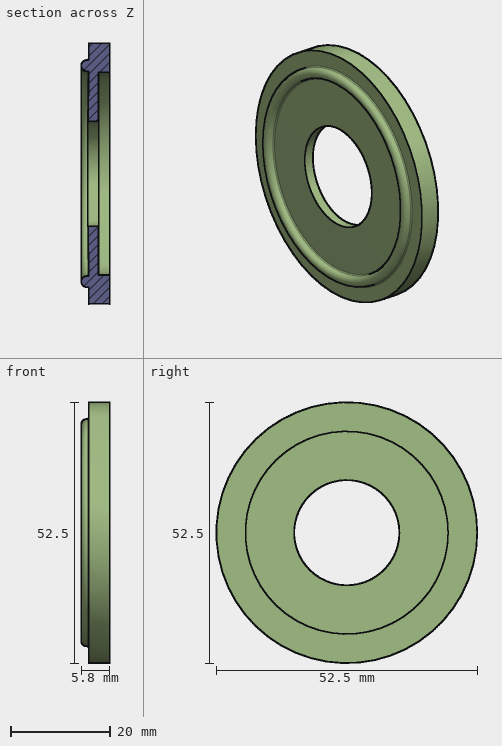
import cadquery as cq
import math

total_thickness = 5.8
disc_radius = 26.25
bore_radius = 10.55
web_thickness = 2.15
web_rise = 0.15

bead_height = 1.5
bead_centre_radius = 21.75
bead_round = 1.15
root_fillet = 0.2

disc_thickness = total_thickness - bead_height
round_centre_height = bead_height - bead_round
fillet_reach = bead_round + root_fillet
centre_drop = round_centre_height - root_fillet
bead_half_width = math.sqrt(fillet_reach**2 - centre_drop**2)
bead_inner_radius = bead_centre_radius - bead_half_width
bead_outer_radius = bead_centre_radius + bead_half_width

touch_offset = bead_half_width * bead_round / fillet_reach
touch_height = round_centre_height - centre_drop * bead_round / fillet_reach

fillet_sweep = math.pi / 2 + math.asin(centre_drop / fillet_reach)
fillet_mid_offset = bead_half_width - root_fillet * math.sin(fillet_sweep / 2)
fillet_mid_height = root_fillet * (1 - math.cos(fillet_sweep / 2))

recess_radius = bead_inner_radius
web_back = web_thickness - web_rise


def bead_point(offset, height):
    """Profile point at a radial offset from the ridge and a height above the rim face."""
    return (-height, bead_centre_radius + offset)


section = (
    cq.Workplane("XY")
    .moveTo(-web_rise, bore_radius)
    .lineTo(0, bead_inner_radius)
    .threePointArc(
        bead_point(-fillet_mid_offset, fillet_mid_height),
        bead_point(-touch_offset, touch_height),
    )
    .threePointArc(bead_point(0, bead_height), bead_point(touch_offset, touch_height))
    .threePointArc(
        bead_point(fillet_mid_offset, fillet_mid_height),
        (0, bead_outer_radius),
    )
    .lineTo(0, disc_radius)
    .lineTo(disc_thickness, disc_radius)
    .lineTo(disc_thickness, recess_radius)
    .lineTo(web_back, recess_radius)
    .lineTo(web_back, bore_radius)
    .close()
)

result = section.revolve(360, (0, 0, 0), (1, 0, 0))